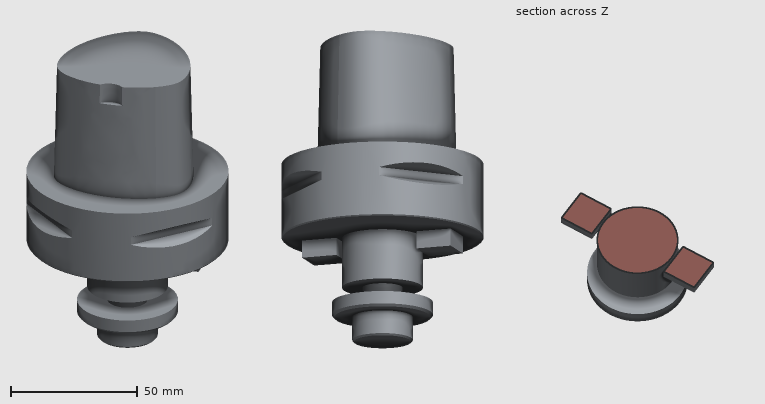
import cadquery as cq
import math

total_height = 120.0
flange_top = 72.0
flange_bottom = 42.0
key_bottom = 35.0
pilot_bottom = 22.0
washer_top = 16.0
washer_bottom = 10.0

flange_diameter = 80.0
pilot_diameter = 32.0
neck_diameter = 16.0
washer_diameter = 40.0
screw_head_diameter = 24.0

flange_chamfer = 0.5
washer_chamfer = 1.0
head_chamfer = 0.7

shank_base_radius = 27.6
shank_taper = 1 / 40
lobe_eccentricity = 2.0
lobe_half_angle = 33.0
points_per_arc = 9

notch_diameter = 12.0
notch_depth = 8.0
notch_inner_y = -22.1

groove_level = 60.0
groove_floor_distance = 35.5
groove_floor_height = 3.2
groove_wall_angle = 30.0

key_inner_x = 16.8
key_outer_x = 31.2
key_width = 14.4

overlap = 1.2


def disc(diameter, bottom, top):
    return cq.Workplane("XY").workplane(offset=bottom).circle(diameter / 2).extrude(top - bottom)


def lobed_point(radius, angle):
    """Point of a constant-width curve whose outward normal has this angle, with one lobe on +Y."""
    t = math.radians(angle)
    along_lobe = radius * math.cos(t) + lobe_eccentricity * (2 * math.cos(2 * t) - math.cos(4 * t))
    across_lobe = radius * math.sin(t) - lobe_eccentricity * (2 * math.sin(2 * t) + math.sin(4 * t))
    return -across_lobe, along_lobe


def lobed_wire(radius, level):
    edges = []
    for lobe_angle in (0, 120, 240):
        lobe_start = lobe_angle - lobe_half_angle
        lobe_end = lobe_angle + lobe_half_angle
        next_lobe_start = lobe_start + 120
        for start, end in ((lobe_start, lobe_end), (lobe_end, next_lobe_start)):
            step = (end - start) / (points_per_arc - 1)
            points = [
                cq.Vector(*lobed_point(radius, start + i * step), level)
                for i in range(points_per_arc)
            ]
            edges.append(cq.Edge.makeSpline(points))
    return cq.Wire.assembleEdges(edges)


def shank():
    top_radius = shank_base_radius - shank_taper * (total_height - flange_top)
    base = lobed_wire(shank_base_radius, flange_top)
    top = lobed_wire(top_radius, total_height)
    body = cq.Workplane(cq.Solid.makeLoft([base, top], True))
    notch = disc(notch_diameter, total_height - notch_depth, total_height + overlap)
    return body.cut(notch.translate((0, notch_inner_y - notch_diameter / 2, 0)))


def gripper_groove(direction):
    """Straight groove with flared walls, cut across the rim of the flange."""
    outer_distance = flange_diameter / 2 + overlap
    flare = (outer_distance - groove_floor_distance) * math.tan(math.radians(groove_wall_angle))
    floor_half = groove_floor_height / 2
    profile = [
        (groove_floor_distance, groove_level - floor_half),
        (outer_distance, groove_level - floor_half - flare),
        (outer_distance, groove_level + floor_half + flare),
        (groove_floor_distance, groove_level + floor_half),
    ]
    cutter = cq.Workplane("XZ").polyline(profile).close().extrude(flange_diameter / 2, both=True)
    return cutter.rotate((0, 0, 0), (0, 0, 1), direction)


def flange():
    body = disc(flange_diameter, flange_bottom, flange_top).faces("<Z").chamfer(flange_chamfer)
    for direction in (45, 135, 225, 315):
        body = body.cut(gripper_groove(direction))
    return body


def drive_key(side):
    length = key_outer_x - key_inner_x
    center_x = side * (key_inner_x + key_outer_x) / 2
    height = flange_bottom + overlap - key_bottom
    key = cq.Workplane("XY").box(length, key_width, height, centered=(True, True, False))
    return key.translate((center_x, 0, key_bottom))


pilot = disc(pilot_diameter, pilot_bottom, flange_bottom)
neck = disc(neck_diameter, washer_top, pilot_bottom)
washer = disc(washer_diameter, washer_bottom, washer_top).faces("<Z").chamfer(washer_chamfer)
screw_head = disc(screw_head_diameter, 0, washer_bottom).faces("<Z").chamfer(head_chamfer)

result = flange().union(shank()).union(pilot).union(neck).union(washer).union(screw_head)
for side in (-1, 1):
    result = result.union(drive_key(side))